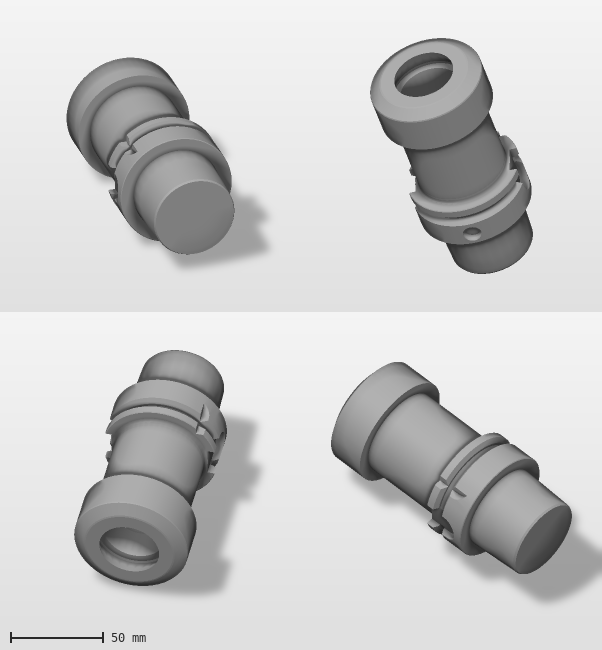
import cadquery as cq
import math

total_length = 132.0
outer_radius = 63.0 / 2

nut_length = 25.5
nut_face_radius = 48.3 / 2
nut_lip_radius = 50.0 / 2
nut_lip_depth = 0.3
nut_shoulder_radius = 31.2
nut_shoulder_x = 3.8
nut_shoulder_width = 0.7

body_radius = 49.8 / 2
collar_radius = 50.0 / 2
collar_start = 71.0
fillet_start = 72.1
fillet_top_radius = 26.7

flange_start = 74.0
flange_end = 99.7
flange_chamfer = 0.4
groove_radius = 27.3
groove_flank_radius = 28.8
groove_front_x = 78.5
groove_floor_start = 80.1
groove_floor_end = 83.4
groove_rear_x = 85.3

taper_large_radius = 48.5 / 2
taper_small_radius = 22.8
taper_chamfer = 1.2
taper_chamfer_drop = 0.7

mouth_radius = 33.1 / 2
chamber_radius = 20.6
chamber_start = 10.5
chamber_end = 12.3
seat_radius = 16.9
seat_angle = 8.0
throat_radius = 29.6 / 2
bore_radius = 28.5 / 2
bore_end = 52.8
drill_radius = 14.0 / 2
drill_end = 68.6
drill_chamfer = 1.6
drill_point_angle = 118.0

slot_floor = 26.4
front_slot_width = 16.1
rear_slot_width = 18.1
slot_end = 95.0
notch_corner = 20.0
chip_hole_radius = 10.0 / 2
chip_hole_x = 92.5
chip_hole_depth = 4.6


def make_body():
    """Revolve the outer profile of nut, body, flange and taper."""
    fillet_length = flange_start - fillet_start
    fillet_height = fillet_top_radius - collar_radius
    fillet_middle = (
        fillet_start + fillet_length * math.sin(math.pi / 4),
        collar_radius + fillet_height * (1 - math.cos(math.pi / 4)),
    )
    taper_chamfer_x = total_length - taper_chamfer
    return (
        cq.Workplane("XY")
        .moveTo(0, 0)
        .lineTo(0, nut_face_radius)
        .lineTo(nut_lip_depth, nut_lip_radius)
        .lineTo(nut_shoulder_x, nut_shoulder_radius)
        .lineTo(nut_shoulder_x + nut_shoulder_width, outer_radius)
        .lineTo(nut_length, outer_radius)
        .lineTo(nut_length, body_radius)
        .lineTo(collar_start, body_radius)
        .lineTo(fillet_start, collar_radius)
        .threePointArc(fillet_middle, (flange_start, fillet_top_radius))
        .lineTo(flange_start, outer_radius - flange_chamfer)
        .lineTo(flange_start + flange_chamfer, outer_radius)
        .lineTo(groove_front_x, outer_radius)
        .lineTo(groove_floor_start, groove_flank_radius)
        .lineTo(groove_floor_start, groove_radius)
        .lineTo(groove_floor_end, groove_radius)
        .lineTo(groove_floor_end, groove_flank_radius)
        .lineTo(groove_rear_x, outer_radius)
        .lineTo(flange_end - flange_chamfer, outer_radius)
        .lineTo(flange_end, outer_radius - flange_chamfer)
        .lineTo(flange_end, taper_large_radius)
        .lineTo(taper_chamfer_x, taper_small_radius)
        .lineTo(total_length, taper_small_radius - taper_chamfer_drop)
        .lineTo(total_length, 0)
        .close()
        .revolve(360, (0, 0, 0), (1, 0, 0))
    )


def make_bore():
    """Flared mouth, chamber, tapered collet seat, bore and drill hole."""
    seat_end = chamber_end + (seat_radius - throat_radius) / math.tan(math.radians(seat_angle))
    point_length = drill_radius / math.tan(math.radians(drill_point_angle / 2))
    return (
        cq.Workplane("XY")
        .moveTo(0, 0)
        .lineTo(0, mouth_radius)
        .lineTo(chamber_start, chamber_radius)
        .lineTo(chamber_end, chamber_radius)
        .lineTo(chamber_end, seat_radius)
        .lineTo(seat_end, throat_radius)
        .lineTo(seat_end + throat_radius - bore_radius, bore_radius)
        .lineTo(bore_end, bore_radius)
        .lineTo(bore_end, drill_radius + drill_chamfer)
        .lineTo(bore_end + drill_chamfer, drill_radius)
        .lineTo(drill_end, drill_radius)
        .lineTo(drill_end + point_length, 0)
        .close()
        .revolve(360, (0, 0, 0), (1, 0, 0))
    )


def make_slot(width, center_z, floor, side):
    """Round-ended slot from the flange front, milled along Y.

    side is -1 or +1 and selects the -Y or +Y half of the flange.
    """
    radius = width / 2
    arc_x = slot_end - radius
    return (
        cq.Workplane("XZ", origin=(0, side * floor, 0))
        .moveTo(flange_start, center_z - radius)
        .lineTo(arc_x, center_z - radius)
        .threePointArc((slot_end, center_z), (arc_x, center_z + radius))
        .lineTo(flange_start, center_z + radius)
        .close()
        .extrude(-side * outer_radius)
    )


def make_chip_hole():
    """Blind hole for a data chip in the -Z side of the flange."""
    return (
        cq.Workplane("XY", origin=(chip_hole_x, 0, -outer_radius))
        .circle(chip_hole_radius)
        .extrude(chip_hole_depth)
    )


notch_center_z = notch_corner + front_slot_width / 2

result = (
    make_body()
    .cut(make_bore())
    .cut(make_slot(front_slot_width, 0, slot_floor, -1))
    .cut(make_slot(rear_slot_width, 0, slot_floor, 1))
    .cut(make_slot(front_slot_width, notch_center_z, notch_corner, -1))
    .cut(make_chip_hole())
)